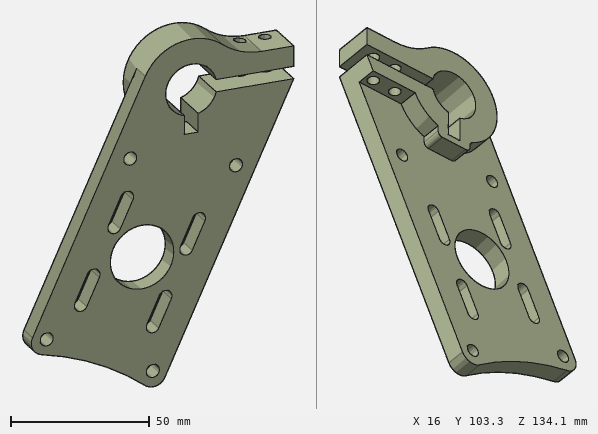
import cadquery as cq
import math

CLAMP_DEPTH = 16.0
PLATE_THICKNESS = 7.9
HUB_RADIUS = 20.0
BORE_RADIUS = 10.0

EAR_END = 40.3
EAR_TOP = 10.5
EAR_BOTTOM = -8.6
EAR_BLEND_RADIUS = 25.0
SPLIT_WIDTH = 4.8
SCREW_RADIUS = 2.3
SCREW_X = 4.2
SCREW_POSITIONS = (24.1, 34.0)

PAD_HALF_WIDTH = 7.4
PAD_BOTTOM = -23.0
PAD_CORNER_RADIUS = 2.0
PAD_BLEND_RADIUS = 2.5
KEYWAY_WIDTH = 5.4
KEYWAY_BOTTOM = -17.0
RAMP_LOW = -20.2
RAMP_HIGH = -17.8
RAMP_ANGLE = math.radians(35)

TILT = math.radians(25)
END_ARC_ALONG = 107.6
END_ARC_RADIUS = 100.0
PLATE_CORNER_RADIUS = 5.2
OPENING_ALONG = 64.7
OPENING_RADIUS = 12.5
SLOT_PATTERN_ALONG = 66.7
SLOT_SPACING = 31.2
SLOT_TRAVEL = 11.8
HOLE_RADIUS = 2.5
LOWER_HOLE_ALONG = 104.1
LOWER_HOLE_OFFSET = 23.0
UPPER_HOLE_OFFSET = 20.9
UPPER_HOLE_ALONG = {1: 31.0, -1: 22.1}

EDGE_ACROSS = HUB_RADIUS
FAR_EDGE_ACROSS = -EAR_END * math.cos(TILT) - SPLIT_WIDTH / 2 * math.sin(TILT)
MID_ACROSS = (EDGE_ACROSS + FAR_EDGE_ACROSS) / 2


def plate_point(along, across):
    """Convert plate coordinates to (Y, Z)."""
    y = -along * math.sin(TILT) - across * math.cos(TILT)
    z = -along * math.cos(TILT) + across * math.sin(TILT)
    return y, z


def yz(x=0):
    """Sketch plane facing +X at the given X."""
    return cq.Workplane("YZ", origin=(x, 0, 0))


def cylinder(center, radius):
    """Cylinder along X through the full depth."""
    return yz().center(*center).circle(radius).extrude(CLAMP_DEPTH)


def make_upper_ear():
    """Upper ear, blended tangentially into the hub."""
    blend_z = EAR_TOP + EAR_BLEND_RADIUS
    center_distance = HUB_RADIUS + EAR_BLEND_RADIUS
    blend_y = math.sqrt(center_distance**2 - blend_z**2)
    ratio = HUB_RADIUS / center_distance
    return (
        yz()
        .lineTo(EAR_END, 0)
        .lineTo(EAR_END, EAR_TOP)
        .lineTo(blend_y, EAR_TOP)
        .radiusArc((blend_y * ratio, blend_z * ratio), EAR_BLEND_RADIUS)
        .close()
        .extrude(CLAMP_DEPTH)
    )


def make_lower_ear():
    """Lower ear, its end following the slanted plate edge."""
    slant = math.tan(TILT)
    return (
        yz()
        .lineTo(EAR_END, 0)
        .lineTo(EAR_END, -SPLIT_WIDTH / 2)
        .lineTo(EAR_END + (EAR_BOTTOM + SPLIT_WIDTH / 2) * slant, EAR_BOTTOM)
        .lineTo(0, EAR_BOTTOM)
        .close()
        .extrude(CLAMP_DEPTH)
    )


def make_pad():
    """Pad below the hub, blended into it on the -Y side only."""
    blend_y = -PAD_HALF_WIDTH - PAD_BLEND_RADIUS
    center_distance = HUB_RADIUS + PAD_BLEND_RADIUS
    blend_z = -math.sqrt(center_distance**2 - blend_y**2)
    ratio = HUB_RADIUS / center_distance
    pad = (
        yz()
        .lineTo(blend_y * ratio, blend_z * ratio)
        .radiusArc((-PAD_HALF_WIDTH, blend_z), PAD_BLEND_RADIUS)
        .lineTo(-PAD_HALF_WIDTH, PAD_BOTTOM)
        .lineTo(PAD_HALF_WIDTH, PAD_BOTTOM)
        .lineTo(PAD_HALF_WIDTH, 0)
        .close()
        .extrude(CLAMP_DEPTH)
    )
    return pad.faces("<Z").edges("|X").fillet(PAD_CORNER_RADIUS)


def make_plate():
    """Tilted plate with a concave lower end."""
    half_width = (EDGE_ACROSS - FAR_EDGE_ACROSS) / 2
    corner_rise = END_ARC_RADIUS - math.sqrt(END_ARC_RADIUS**2 - half_width**2)
    corner_along = END_ARC_ALONG + corner_rise
    plate = (
        yz(CLAMP_DEPTH - PLATE_THICKNESS)
        .lineTo(*plate_point(0, EDGE_ACROSS))
        .lineTo(*plate_point(corner_along, EDGE_ACROSS))
        .threePointArc(
            plate_point(END_ARC_ALONG, MID_ACROSS),
            plate_point(corner_along, FAR_EDGE_ACROSS),
        )
        .lineTo(EAR_END, -SPLIT_WIDTH / 2)
        .lineTo(0, -SPLIT_WIDTH / 2)
        .close()
        .extrude(PLATE_THICKNESS)
    )
    lower_corners = cq.selectors.BoxSelector(
        (0, -corner_along, -2 * corner_along),
        (CLAMP_DEPTH, EAR_END, -corner_along / 2),
    )
    return plate.edges("|X").edges(lower_corners).fillet(PLATE_CORNER_RADIUS)


def make_plate_openings():
    """Central opening, four adjustment slots and four corner holes."""
    cuts = cylinder(plate_point(OPENING_ALONG, MID_ACROSS), OPENING_RADIUS)
    slot_angle = 90 + math.degrees(TILT)
    for side in (1, -1):
        for end in (1, -1):
            slot_center = plate_point(
                SLOT_PATTERN_ALONG + end * SLOT_SPACING / 2,
                MID_ACROSS + side * SLOT_SPACING / 2,
            )
            slot = (
                yz()
                .center(*slot_center)
                .slot2D(SLOT_TRAVEL + 2 * HOLE_RADIUS, 2 * HOLE_RADIUS, -slot_angle)
                .extrude(CLAMP_DEPTH)
            )
            cuts = cuts.union(slot)
        upper = plate_point(UPPER_HOLE_ALONG[side], MID_ACROSS + side * UPPER_HOLE_OFFSET)
        lower = plate_point(LOWER_HOLE_ALONG, MID_ACROSS + side * LOWER_HOLE_OFFSET)
        cuts = cuts.union(cylinder(upper, HOLE_RADIUS)).union(cylinder(lower, HOLE_RADIUS))
    return cuts


def make_keyway():
    """Keyway with a flat floor that rounds over onto a ramp falling to the clamp face."""
    ramp_length = (RAMP_HIGH - RAMP_LOW) / math.tan(RAMP_ANGLE)
    round_radius = (KEYWAY_BOTTOM - RAMP_HIGH) / (1 - math.cos(RAMP_ANGLE))
    round_end = ramp_length + round_radius * math.sin(RAMP_ANGLE)
    return (
        cq.Workplane("XZ", origin=(0, KEYWAY_WIDTH / 2, 0))
        .lineTo(0, RAMP_LOW)
        .lineTo(ramp_length, RAMP_HIGH)
        .radiusArc((round_end, KEYWAY_BOTTOM), round_radius)
        .lineTo(CLAMP_DEPTH, KEYWAY_BOTTOM)
        .lineTo(CLAMP_DEPTH, 0)
        .close()
        .extrude(KEYWAY_WIDTH)
    )


def make_clamp_cuts():
    """Bore, split between the ears and clamp screw holes."""
    split = yz().center(EAR_END / 2, 0).rect(EAR_END, SPLIT_WIDTH).extrude(CLAMP_DEPTH)
    screws = (
        cq.Workplane("XY", origin=(0, 0, EAR_BOTTOM))
        .pushPoints([(SCREW_X, y) for y in SCREW_POSITIONS])
        .circle(SCREW_RADIUS)
        .extrude(2 * HUB_RADIUS)
    )
    return cylinder((0, 0), BORE_RADIUS).union(split).union(screws)


body = cylinder((0, 0), HUB_RADIUS).union(make_upper_ear()).union(make_lower_ear())
body = body.union(make_pad()).union(make_plate())
result = body.cut(make_plate_openings()).cut(make_clamp_cuts()).cut(make_keyway())